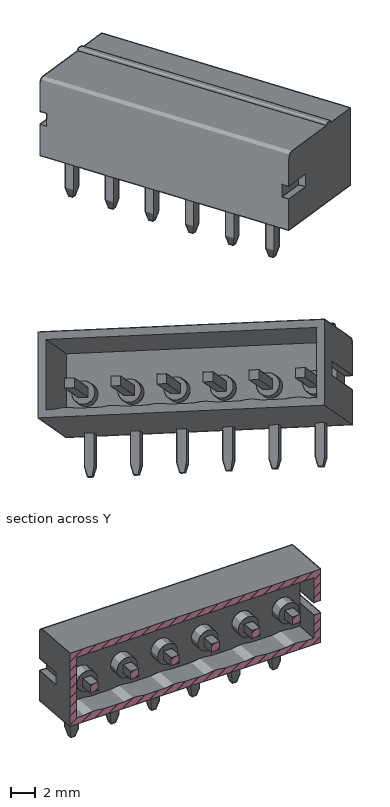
import cadquery as cq
import math


body_length = 23.65
body_depth = 9.2
body_height = 7.0
front_edge_radius = 0.5

ridge_height = 0.2
ridge_width = 0.6
ridge_rear_y = 6.2

end_wall = 0.65
front_wall = 2.48
floor_thickness = 0.65
roof_thickness = 0.65

slot_bottom_z = 2.85
slot_height = 1.15
slot_length = 6.68

pin_count = 6
pin_pitch = 3.81
pin_size = 0.8
pin_leg_y = 1.17
pin_leg_length = 3.5
pin_taper_length = 0.8
pin_tip_size = 0.4
pin_axis_z = 2.95
pin_contact_end_y = 8.0

collar_radius = 0.95
collar_length = 1.0

rib_half_width = 1.0
rib_crest_half_width = 0.75
rib_slope_angle = math.radians(12)

cavity_length = body_length - 2 * end_wall
cavity_depth = body_depth - front_wall
pin_positions = [(i - (pin_count - 1) / 2) * pin_pitch for i in range(pin_count)]


def box(x0, x1, y0, y1, z0, z1):
    """Box between two opposite corners."""
    return cq.Workplane("XY").box(x1 - x0, y1 - y0, z1 - z0, centered=False).translate((x0, y0, z0))


def make_housing():
    """Outer block with its rounded front edge, top ridge and rear cavity."""
    half_length = body_length / 2
    block = box(-half_length, half_length, 0, body_depth, 0, body_height)
    block = block.edges("|X and >Z and <Y").fillet(front_edge_radius)

    ridge_front_y = ridge_rear_y - ridge_width
    ridge_top_z = body_height + ridge_height
    shoulder_mid = ridge_height * (1 - math.sqrt(0.5))
    ridge = (
        cq.Workplane("YZ", origin=(-half_length, 0, 0))
        .moveTo(ridge_front_y, body_height)
        .threePointArc(
            (ridge_front_y + shoulder_mid, ridge_top_z - shoulder_mid),
            (ridge_front_y + ridge_height, ridge_top_z),
        )
        .lineTo(ridge_rear_y, ridge_top_z)
        .lineTo(ridge_rear_y, body_height)
        .close()
        .extrude(body_length)
    )

    cavity = box(
        -cavity_length / 2, cavity_length / 2,
        front_wall, body_depth,
        floor_thickness, body_height - roof_thickness,
    )
    return block.union(ridge).cut(cavity)


def cut_guide_slots(housing):
    """Slot both end walls from the front; only the -X slot runs on into the cavity."""
    half_length = body_length / 2
    slot_top_z = slot_bottom_z + slot_height
    left_slot = box(
        -half_length, -half_length + end_wall, 0, slot_length, slot_bottom_z, slot_top_z
    )
    right_slot = box(
        half_length - end_wall, half_length, 0, front_wall, slot_bottom_z, slot_top_z
    )
    return housing.cut(left_slot).cut(right_slot)


def make_floor_rib(x):
    """Convex crest that runs tangentially into concave feet on the cavity floor."""
    crest_radius = rib_crest_half_width / math.sin(rib_slope_angle)
    foot_width = rib_half_width - rib_crest_half_width
    foot_radius = foot_width / math.sin(rib_slope_angle)
    foot_rise = foot_radius * (1 - math.cos(rib_slope_angle))
    crest_rise = crest_radius * (1 - math.cos(rib_slope_angle))
    half_angle = rib_slope_angle / 2
    foot_mid_x = rib_half_width - foot_radius * math.sin(half_angle)
    foot_mid_z = foot_radius * (1 - math.cos(half_angle))
    return (
        cq.Workplane("XZ", origin=(x, body_depth, floor_thickness))
        .moveTo(-rib_half_width, 0)
        .threePointArc((-foot_mid_x, foot_mid_z), (-rib_crest_half_width, foot_rise))
        .threePointArc((0, foot_rise + crest_rise), (rib_crest_half_width, foot_rise))
        .threePointArc((foot_mid_x, foot_mid_z), (rib_half_width, 0))
        .close()
        .extrude(cavity_depth)
    )


def make_pin(x):
    """Bent square pin: a contact along +Y and a leg with a tapered tip along -Z."""
    half = pin_size / 2
    contact = box(
        x - half, x + half,
        pin_leg_y - half, pin_contact_end_y,
        pin_axis_z - half, pin_axis_z + half,
    )
    taper_start_z = pin_taper_length - pin_leg_length
    leg = box(
        x - half, x + half,
        pin_leg_y - half, pin_leg_y + half,
        taper_start_z, pin_axis_z,
    )
    tip = (
        cq.Workplane("XY", origin=(x, pin_leg_y, taper_start_z))
        .rect(pin_size, pin_size)
        .workplane(offset=-pin_taper_length)
        .rect(pin_tip_size, pin_tip_size)
        .loft(ruled=True)
    )
    return contact.union(leg).union(tip)


def make_collar(x):
    """Round collar standing on the cavity's front wall."""
    return (
        cq.Workplane("XZ", origin=(x, front_wall, pin_axis_z))
        .circle(collar_radius)
        .extrude(-collar_length)
    )


result = cut_guide_slots(make_housing())
for pin_x in pin_positions:
    result = result.union(make_floor_rib(pin_x))
    result = result.union(make_collar(pin_x))
    result = result.union(make_pin(pin_x))